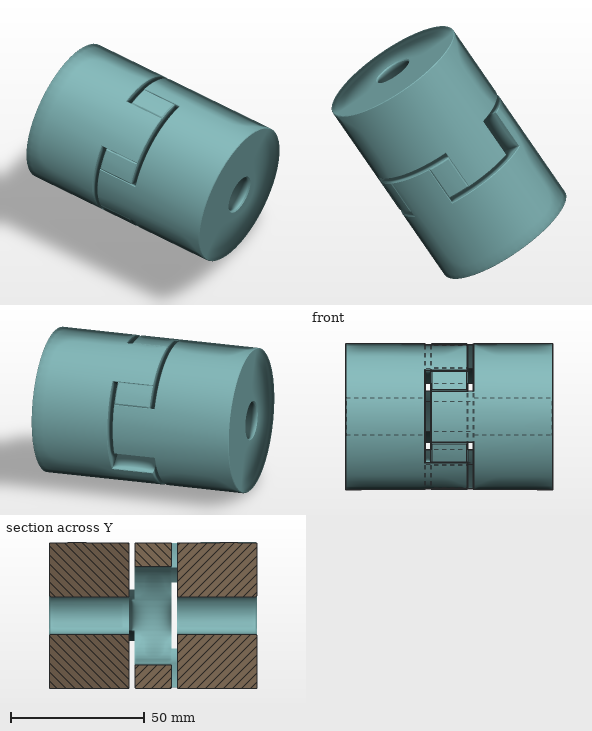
import cadquery as cq
import math


length = 78.0
diameter = 55.0
bore_diameter = 14.0

hub_gap = 18.0
jaw_clearance = 2.0
flange_length = (length - hub_gap) / 2
jaw_length = hub_gap - jaw_clearance
pad_length = hub_gap - 2 * jaw_clearance

jaws_per_hub = 3
jaw_pitch = 360 / jaws_per_hub
pad_pitch = jaw_pitch / 2
outer_radius = diameter / 2
inner_radius = 18.4
middle_radius = (inner_radius + outer_radius) / 2
jaw_inner_angle = 17.8
jaw_middle_angle = 18.5
jaw_outer_angle = 20.9

first_pad_direction = pad_pitch / 2
pad_count = 5

rim_chamfer = 0.2
bore_chamfer = 0.5
pad_chamfer = 0.5

tolerance = 0.001


def polar(radius, degrees):
    angle = math.radians(degrees)
    return (radius * math.cos(angle), radius * math.sin(angle))


def sector(start_x, depth, direction, inner_angle, middle_angle, outer_angle):
    """Ring segment about X whose two flanks are arcs, given by half angles at three radii."""
    return (
        cq.Workplane("YZ", origin=(start_x, 0, 0))
        .moveTo(*polar(inner_radius, direction - inner_angle))
        .threePointArc(
            polar(middle_radius, direction - middle_angle),
            polar(outer_radius, direction - outer_angle),
        )
        .threePointArc(
            polar(outer_radius, direction),
            polar(outer_radius, direction + outer_angle),
        )
        .threePointArc(
            polar(middle_radius, direction + middle_angle),
            polar(inner_radius, direction + inner_angle),
        )
        .threePointArc(
            polar(inner_radius, direction),
            polar(inner_radius, direction - inner_angle),
        )
        .close()
        .extrude(depth)
    )


def on_outer_surface(edge):
    """True for an edge that lies on the outer cylinder."""
    points = [edge.positionAt(0), edge.positionAt(0.5), edge.positionAt(1)]
    return all(abs(math.hypot(point.y, point.z) - outer_radius) < tolerance for point in points)


def cylinder(start_x, depth, radius):
    return cq.Workplane("YZ", origin=(start_x, 0, 0)).circle(radius).extrude(depth)


def make_hub():
    """Hub at the -X end, with its jaws pointing to +X."""
    hub = cylinder(-length / 2, flange_length + jaw_length, outer_radius)

    hub = hub.cut(cylinder(-hub_gap / 2, jaw_length, inner_radius))
    half_space = jaw_pitch / 2
    for i in range(jaws_per_hub):
        space = sector(
            -hub_gap / 2, jaw_length, half_space + i * jaw_pitch,
            half_space - jaw_inner_angle,
            half_space - jaw_middle_angle,
            half_space - jaw_outer_angle,
        )
        hub = hub.cut(space)

    rim = [edge for edge in hub.edges().vals() if on_outer_surface(edge)]
    hub = hub.newObject(rim).chamfer(rim_chamfer)

    hub = hub.cut(cylinder(-length / 2, flange_length, bore_diameter / 2))
    return hub.faces("<X").edges(cq.selectors.RadiusNthSelector(0)).chamfer(bore_chamfer)


def make_pad(direction):
    """Cushion that fills the space between two neighbouring jaws."""
    half_space = pad_pitch / 2
    pad = sector(
        -pad_length / 2, pad_length, direction,
        half_space - jaw_inner_angle,
        half_space - jaw_middle_angle,
        half_space - jaw_outer_angle,
    )
    rim = [edge for edge in pad.edges().vals() if on_outer_surface(edge)]
    return pad.newObject(rim).chamfer(pad_chamfer)


left_hub = make_hub()
right_hub = make_hub().rotate((0, 0, 0), (0, 0, 1), 180)
pads = [make_pad(first_pad_direction + i * pad_pitch) for i in range(pad_count)]

result = cq.Compound.makeCompound([left_hub.val(), right_hub.val(), *[pad.val() for pad in pads]])